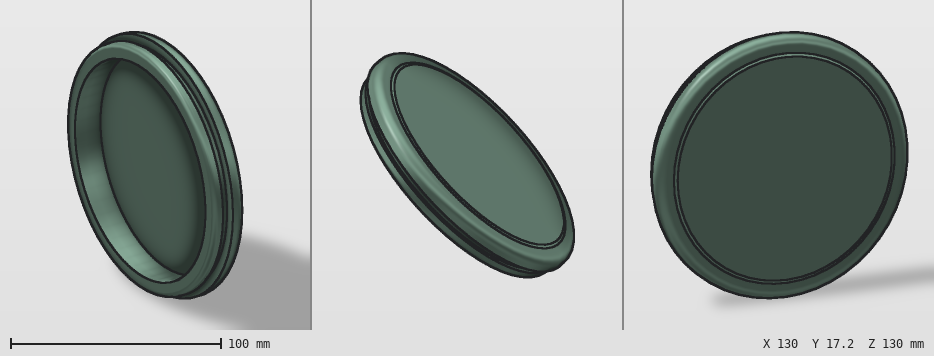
import cadquery as cq
import math

flange_radius = 65.0
lip_radius = 62.5
groove_radius = 60.0
cavity_radius = 55.0
pad_radius = 55.1
pad_foot_radius = 56.8

total_depth = 17.2
lip_back = 5.0
flange_front = 9.0
floor_thickness = 2.5
cavity_depth = total_depth - floor_thickness

lip_round = 2.5
flange_round = 4.5
pad_rise = 0.6

rim_back = total_depth - pad_rise
round_start = rim_back - flange_round
diagonal = math.sqrt(0.5)


def round_point(center_radius, center_y, radius, direction):
    """Middle of a quarter round; direction is +1 toward the back, -1 toward the front."""
    return (center_radius + radius * diagonal, center_y + direction * radius * diagonal)


def cap_body():
    """Solid cap, revolved about the Y axis from its half section."""
    lip_center = lip_radius - lip_round
    flange_center = flange_radius - flange_round
    section = (
        cq.Workplane("XY")
        .moveTo(0, 0)
        .lineTo(lip_center, 0)
        .threePointArc(round_point(lip_center, lip_round, lip_round, -1), (lip_radius, lip_round))
        .lineTo(lip_radius, lip_back)
        .lineTo(groove_radius, lip_back)
        .lineTo(groove_radius, flange_front)
        .lineTo(flange_radius, flange_front)
        .lineTo(flange_radius, round_start)
        .threePointArc(round_point(flange_center, round_start, flange_round, 1), (flange_center, rim_back))
        .lineTo(pad_foot_radius, rim_back)
        .lineTo(pad_radius, total_depth)
        .lineTo(0, total_depth)
        .close()
    )
    return section.revolve(360, (0, 0, 0), (0, 1, 0))


def cavity():
    """Round recess open at the front face."""
    return cq.Workplane("XZ").circle(cavity_radius).extrude(-cavity_depth)


result = cap_body().cut(cavity()).translate((0, -total_depth / 2, 0))